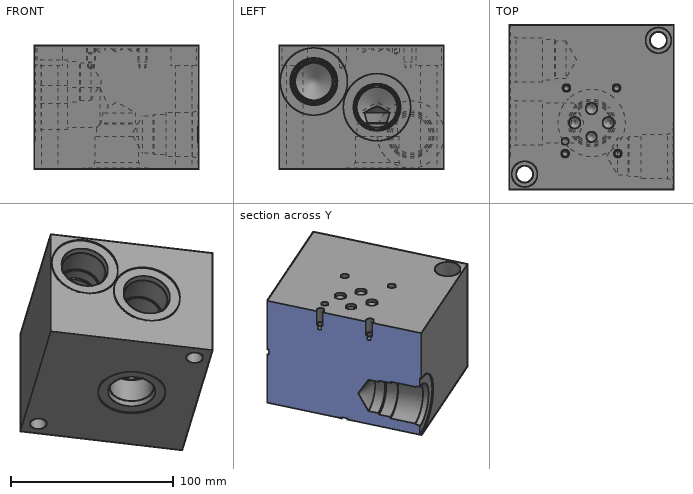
import cadquery as cq
import math

SIDE = 101.6
HEIGHT = 76.2

MOUNT_INSET = 9.5
MOUNT_DIAMETER = 10.3
MOUNT_HEAD_DIAMETER = 15.8
MOUNT_HEAD_DEPTH = 12.2

PATTERN_Y = -9.5
PORT_SPAN_X = 20.7
PORT_SPAN_Y = 17.5
VALVE_PORT_DIAMETER = 7.1
LOWER_PORT_DIAMETER = 6.3
VALVE_PORT_DEPTH = 2.0
PIN_DIAMETER = 4.4
PIN_DEPTH = 4.1
PIN_POINT = (-16.3, -21.0)
SCREW_POINTS = [(-15.4, 11.9), (15.4, 11.9), (-16.3, -28.5), (16.3, -28.5)]
SCREW_DIAMETER = 4.9
SCREW_TAP_DIAMETER = 3.8
SCREW_THREAD_DEPTH = 10.2
SCREW_TAP_DEPTH = 13.2

P_CENTRE = (PATTERN_Y, HEIGHT / 2)
T_CENTRE = (29.4, 54.0)
SPOTFACE_DIAMETER = 41.5
SPOTFACE_DEPTH = 0.8
SEAT_DIAMETER = 29.2
SEAT_END_DIAMETER = 27.4
SEAT_LENGTH = 3.3
THREAD_DIAMETER = 27.0
THREAD_DEPTH = 20.3
BORE_DIAMETER = 24.9

P_BORE_DEPTH = 40.4
BLUNT_POINT_ANGLE = 132.0

STEPPED_BORE_DEPTH = 27.8
STEPPED_DRILL_DIAMETER = 23.0
STEPPED_DRILL_DEPTH = 34.8

BOTTOM_PORT_CENTRE = (0, PATTERN_Y, 0)

RIGHT_PORT_CENTRE = (-30.2, 21.4)

DRILL_POINT_ANGLE = 120.0


def tip_length(diameter, angle=DRILL_POINT_ANGLE):
    """Length of the conical end left by a drill."""
    return diameter / 2 / math.tan(math.radians(angle / 2))


def stepped_cutter(sections, angle=DRILL_POINT_ANGLE):
    """Solid of revolution along +Z from (depth, diameter) pairs, closed by a drill point."""
    last_depth, last_diameter = sections[-1]
    outline = [(0, 0)]
    outline += [(diameter / 2, depth) for depth, diameter in sections]
    outline.append((0, last_depth + tip_length(last_diameter, angle)))
    return cq.Workplane("XZ").polyline(outline).close().revolve(360, (0, 0), (0, 1))


def drill(diameter, depth):
    return stepped_cutter([(0, diameter), (depth, diameter)])


def cut_from_top(body, cutter, points):
    downward = cutter.rotate((0, 0, 0), (1, 0, 0), 180)
    for x, y in points:
        body = body.cut(downward.translate((x, y, HEIGHT)))
    return body


def cut_from_end(body, cutter, point, end):
    """Cut inward from the +X face (end = 1) or the -X face (end = -1)."""
    y, z = point
    inward = cutter.rotate((0, 0, 0), (0, 1, 0), -90 * end)
    return body.cut(inward.translate((end * SIDE / 2, y, z)))


def port_mouth():
    """Spotface, conical seal seat and thread shared by the line ports."""
    seat_depth = SPOTFACE_DEPTH + SEAT_LENGTH
    return [
        (0, SPOTFACE_DIAMETER),
        (SPOTFACE_DEPTH, SPOTFACE_DIAMETER),
        (SPOTFACE_DEPTH, SEAT_DIAMETER),
        (seat_depth, SEAT_END_DIAMETER),
        (seat_depth, THREAD_DIAMETER),
        (THREAD_DEPTH, THREAD_DIAMETER),
        (THREAD_DEPTH, BORE_DIAMETER),
    ]


result = cq.Workplane("XY").box(SIDE, SIDE, HEIGHT, centered=(True, True, False))

mount_offset = SIDE / 2 - MOUNT_INSET
result = (
    result.faces(">Z").workplane(origin=(0, 0, HEIGHT))
    .pushPoints([(-mount_offset, -mount_offset), (mount_offset, mount_offset)])
    .cboreHole(MOUNT_DIAMETER, MOUNT_HEAD_DIAMETER, MOUNT_HEAD_DEPTH)
)

upper_point = (0, PATTERN_Y + PORT_SPAN_Y / 2)
lower_point = (0, PATTERN_Y - PORT_SPAN_Y / 2)
side_points = [(side * PORT_SPAN_X / 2, PATTERN_Y) for side in (-1, 1)]
result = cut_from_top(result, drill(VALVE_PORT_DIAMETER, VALVE_PORT_DEPTH), side_points + [upper_point])
result = cut_from_top(result, drill(LOWER_PORT_DIAMETER, VALVE_PORT_DEPTH), [lower_point])

result = cut_from_top(result, drill(PIN_DIAMETER, PIN_DEPTH), [PIN_POINT])
screw_cutter = stepped_cutter([
    (0, SCREW_DIAMETER),
    (SCREW_THREAD_DEPTH, SCREW_DIAMETER),
    (SCREW_THREAD_DEPTH, SCREW_TAP_DIAMETER),
    (SCREW_TAP_DEPTH, SCREW_TAP_DIAMETER),
])
result = cut_from_top(result, screw_cutter, SCREW_POINTS)

p_cutter = stepped_cutter(port_mouth() + [(P_BORE_DEPTH, BORE_DIAMETER)], BLUNT_POINT_ANGLE)
bore_taper_length = tip_length(BORE_DIAMETER) - tip_length(STEPPED_DRILL_DIAMETER)
stepped_port_cutter = stepped_cutter(port_mouth() + [
    (STEPPED_BORE_DEPTH, BORE_DIAMETER),
    (STEPPED_BORE_DEPTH + bore_taper_length, STEPPED_DRILL_DIAMETER),
    (STEPPED_DRILL_DEPTH, STEPPED_DRILL_DIAMETER),
])
result = cut_from_end(result, p_cutter, P_CENTRE, -1)
result = cut_from_end(result, stepped_port_cutter, T_CENTRE, -1)
result = cut_from_end(result, stepped_port_cutter, RIGHT_PORT_CENTRE, 1)
result = result.cut(stepped_port_cutter.translate(BOTTOM_PORT_CENTRE))